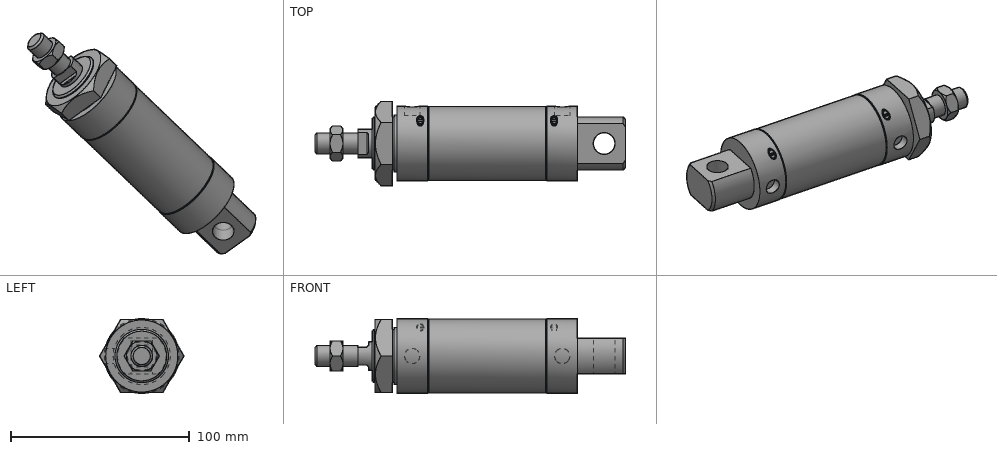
import cadquery as cq
import math


rod_shoulder_x = 24.0
collar_x = 32.0
mounting_nut_x = 33.5
head_x = 46.0
tube_start_x = 63.9
tube_end_x = 129.3
head_end_x = 147.0
clevis_end_x = 174.0

rod_diameter = 16.0
thread_diameter = 12.0
thread_chamfer = 1.2
flats_width = 10.1
flats_end_x = 30.1
flats_end_run = 1.0
flats_end_rise = 1.2

rod_nut_x = 8.5
rod_nut_length = 7.1
rod_nut_across_flats = 17.0
rod_nut_bevel_diameter = 17.0

mounting_nut_length = 9.7
mounting_nut_across_corners = 47.3
mounting_nut_across_flats = mounting_nut_across_corners * math.cos(math.pi / 6)
mounting_nut_bevel_diameter = 40.4

collar_diameter = 30.0
collar_chamfer = 1.0
boss_diameter = 32.0
boss_length = 1.5

tube_diameter = 41.5
head_diameter = 42.0
groove_width = 0.7
groove_root_diameter = 40.9

port_diameter = 8.5
port_depth = 5.2
port_inset = 8.5

screw_hole_diameter = 4.0
screw_diameter = 3.3
screw_inset = 13.0
screw_z = 16.0
screw_slot_width = 0.5
screw_cut_depth = 0.5

clevis_diameter = 30.0
clevis_thickness = 20.0
clevis_chamfer = 1.4
clevis_hole_diameter = 12.0
clevis_hole_x = 162.0


def turned_cylinder(start_x, end_x, diameter):
    """A round bar along the X axis between two stations."""
    return cq.Workplane("YZ", origin=(start_x, 0, 0)).circle(diameter / 2).extrude(end_x - start_x)


def turned_profile(points):
    """A solid of revolution about X from (x, radius) points that start and end on the axis."""
    return cq.Workplane("XY").polyline(points).close().revolve(360, (0, 0, 0), (1, 0, 0))


def hex_nut(start_x, length, across_flats, bevel_diameter, bevel_both_ends):
    """A hexagonal nut with corners on +Y and -Y and 45 degree bevels on its corners."""
    end_x = start_x + length
    across_corners = across_flats / math.cos(math.pi / 6)
    hexagon = cq.Workplane("YZ", origin=(start_x, 0, 0)).polygon(6, across_corners).extrude(length)
    bevel_radius = bevel_diameter / 2
    outer_radius = across_corners / 2
    bevel = outer_radius - bevel_radius
    envelope = [(start_x, 0), (start_x, bevel_radius), (start_x + bevel, outer_radius)]
    if bevel_both_ends:
        envelope += [(end_x - bevel, outer_radius), (end_x, bevel_radius)]
    else:
        envelope += [(end_x, outer_radius)]
    envelope += [(end_x, 0)]
    return hexagon.intersect(turned_profile(envelope))


def wrench_flat_cut(side):
    """The material removed for one wrench flat; side is +1 for the top and -1 for the bottom."""
    flat_z = flats_width / 2
    outer_z = rod_diameter
    outline = [
        (rod_shoulder_x, side * flat_z),
        (flats_end_x - flats_end_run, side * flat_z),
        (flats_end_x, side * (flat_z + flats_end_rise)),
        (flats_end_x, side * outer_z),
        (rod_shoulder_x, side * outer_z),
    ]
    return cq.Workplane("XZ").polyline(outline).close().extrude(rod_diameter, both=True)


def make_piston_rod():
    """Threaded rod end, shoulder with two wrench flats, and the rod nut; it ends at the collar."""
    rod = turned_cylinder(rod_shoulder_x, collar_x, rod_diameter)
    for side in (1, -1):
        rod = rod.cut(wrench_flat_cut(side))
    thread = turned_cylinder(0, rod_shoulder_x, thread_diameter).faces("<X").chamfer(thread_chamfer)
    nut = hex_nut(rod_nut_x, rod_nut_length, rod_nut_across_flats, rod_nut_bevel_diameter, True)
    return rod.union(thread).union(nut)


def make_barrel():
    """Collar, boss, front head, tube and rear head, turned as one piece."""
    collar_radius = collar_diameter / 2
    boss_radius = boss_diameter / 2
    head_radius = head_diameter / 2
    tube_radius = tube_diameter / 2
    groove_root_radius = groove_root_diameter / 2
    return turned_profile([
        (collar_x, 0),
        (collar_x, collar_radius - collar_chamfer),
        (collar_x + collar_chamfer, collar_radius),
        (head_x - boss_length, collar_radius),
        (head_x - boss_length, boss_radius),
        (head_x, boss_radius),
        (head_x, head_radius),
        (tube_start_x - groove_width, head_radius),
        (tube_start_x - groove_width / 2, groove_root_radius),
        (tube_start_x, tube_radius),
        (tube_end_x, tube_radius),
        (tube_end_x + groove_width / 2, groove_root_radius),
        (tube_end_x + groove_width, head_radius),
        (head_end_x, head_radius),
        (head_end_x, 0),
    ])


def make_clevis():
    """Round lug with flat top and bottom, a chamfered end and a vertical pin hole."""
    length = clevis_end_x - head_end_x
    lug = turned_cylinder(head_end_x, clevis_end_x, clevis_diameter).faces(">X").chamfer(clevis_chamfer)
    middle_x = head_end_x + length / 2
    slab = cq.Workplane("XY", origin=(middle_x, 0, 0)).box(length, clevis_diameter, clevis_thickness)
    hole = cq.Workplane("XY", origin=(clevis_hole_x, 0, 0)).circle(clevis_hole_diameter / 2)
    return lug.intersect(slab).cut(hole.extrude(clevis_thickness, both=True))


def port_cut(port_x):
    """A blind port sunk into the +Y side of a head."""
    bottom_y = head_diameter / 2 - port_depth
    port = cq.Workplane("XZ", origin=(port_x, bottom_y, 0)).circle(port_diameter / 2)
    return port.extrude(-head_diameter / 2)


def screw_cut(screw_x):
    """The clearance ring around a cushion screw and the driver slot along X across its head."""
    base = cq.Workplane("XZ", origin=(screw_x, 0, screw_z))
    ring = base.circle(screw_hole_diameter / 2).circle(screw_diameter / 2).extrude(-head_diameter)
    slot = base.rect(screw_diameter, screw_slot_width).extrude(-head_diameter)
    floor = turned_cylinder(head_x, head_end_x, head_diameter - 2 * screw_cut_depth)
    return ring.union(slot).cut(floor)


def make_cylinder():
    """The complete cylinder with its mounting nut, ports, cushion screws and clevis."""
    nut = hex_nut(
        mounting_nut_x,
        mounting_nut_length,
        mounting_nut_across_flats,
        mounting_nut_bevel_diameter,
        False,
    )
    cylinder = make_barrel().union(nut).union(make_clevis())
    for port_x in (head_x + port_inset, head_end_x - port_inset):
        cylinder = cylinder.cut(port_cut(port_x))
    for screw_x in (head_x + screw_inset, head_end_x - screw_inset):
        cylinder = cylinder.cut(screw_cut(screw_x))
    return cylinder


piston_rod = make_piston_rod()
cylinder = make_cylinder()

result = cq.Compound.makeCompound([piston_rod.val(), cylinder.val()])